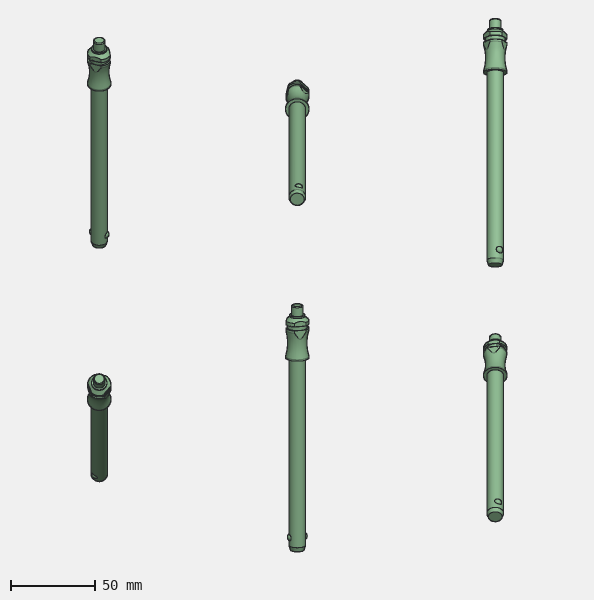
import cadquery as cq

total_length = 152.7

shank_radius = 5.0
tip_radius = 4.1
tip_length = 2.9

grip_radius = 7.0
waist_radius = 5.8
grip_bottom_z = 119.9
grip_rim_height = 0.9
waist_half_height = 8.2
upper_land_height = 1.4

groove_radius = 6.0
groove_height = 2.5
collar_land_height = 2.3
collar_cone_height = 2.3
collar_top_radius = 4.6
collar_lip_height = 0.9

button_radius = 3.5
button_chamfer = 0.6

flat_distance = 6.1
flat_count = 3
first_flat_angle = -90

ball_radius = 2.5
ball_reach = 6.1
ball_z = 8.2

lower_curve_z = grip_bottom_z + grip_rim_height
waist_z = lower_curve_z + waist_half_height
upper_curve_z = waist_z + waist_half_height
grip_top_z = upper_curve_z + upper_land_height
collar_bottom_z = grip_top_z + groove_height
cone_bottom_z = collar_bottom_z + collar_land_height
cone_top_z = cone_bottom_z + collar_cone_height
lip_top_z = cone_top_z + collar_lip_height


def make_turned_body():
    """Revolve the half profile, drawn as (radius, height), about Z."""
    return (
        cq.Workplane("XZ")
        .lineTo(tip_radius, 0)
        .lineTo(shank_radius, tip_length)
        .lineTo(shank_radius, grip_bottom_z)
        .lineTo(grip_radius, grip_bottom_z)
        .lineTo(grip_radius, lower_curve_z)
        .threePointArc((waist_radius, waist_z), (grip_radius, upper_curve_z))
        .lineTo(grip_radius, grip_top_z)
        .lineTo(groove_radius, grip_top_z)
        .lineTo(groove_radius, collar_bottom_z)
        .lineTo(grip_radius, collar_bottom_z)
        .lineTo(grip_radius, cone_bottom_z)
        .lineTo(collar_top_radius, cone_top_z)
        .lineTo(collar_top_radius, lip_top_z)
        .lineTo(button_radius, lip_top_z)
        .lineTo(button_radius, total_length - button_chamfer)
        .lineTo(button_radius - button_chamfer, total_length)
        .lineTo(0, total_length)
        .close()
        .revolve(360, (0, 0, 0), (0, 1, 0))
    )


def make_flat_cutter(angle):
    """Block removing everything beyond the flat, from the waist up to the lip."""
    return (
        cq.Workplane("XY", origin=(0, 0, waist_z))
        .center(flat_distance + grip_radius / 2, 0)
        .rect(grip_radius, 2 * grip_radius)
        .extrude(lip_top_z - waist_z)
        .rotate((0, 0, 0), (0, 0, 1), angle)
    )


def make_ball(side):
    """Ball partly sunk in the shank on the given side of X."""
    center_x = side * (ball_reach - ball_radius)
    return cq.Workplane("XY").sphere(ball_radius).translate((center_x, 0, ball_z))


result = make_turned_body()

for flat_index in range(flat_count):
    flat_angle = first_flat_angle + flat_index * 360 / flat_count
    result = result.cut(make_flat_cutter(flat_angle))

for side in (-1, 1):
    result = result.union(make_ball(side))